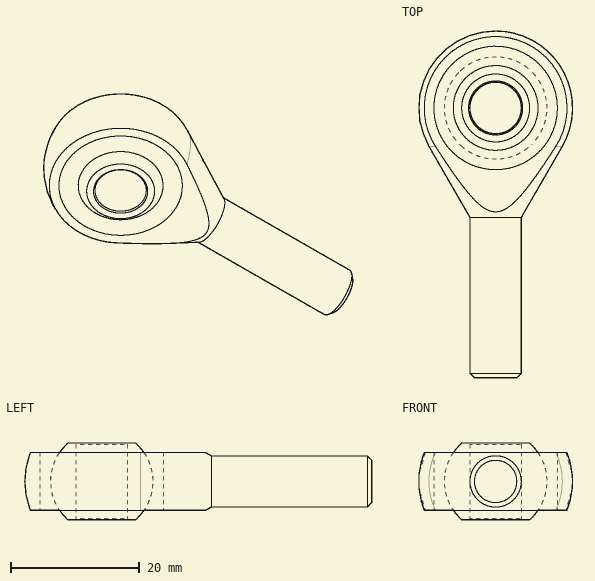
import cadquery as cq
import math

total_length = 53.95
head_radius = 12.0
head_thickness = 9.0
neck_half_angle = 30.0
shank_radius = 4.0
shank_chamfer = 0.7
race_radius = 9.6
ball_radius = 8.0
ball_width = 12.0
bore_radius = 4.0
bore_chamfer = 0.2

neck_angle = math.radians(neck_half_angle)
tangent_radius = head_radius * math.cos(neck_angle)
tangent_y = -head_radius * math.sin(neck_angle)
neck_end_y = tangent_y - (tangent_radius - shank_radius) / math.tan(neck_angle)
shank_end_y = head_radius - total_length


def disc(radius, thickness):
    """Cylinder along Z, centred on the origin."""
    return cq.Workplane("XY").circle(radius).extrude(thickness / 2, both=True)


def make_housing():
    """Sphere, cone and shank turned about Y, with flat faces and a race seat."""
    turned = (
        cq.Workplane("XY")
        .moveTo(0, head_radius)
        .threePointArc((head_radius, 0), (tangent_radius, tangent_y))
        .lineTo(shank_radius, neck_end_y)
        .lineTo(shank_radius, shank_end_y + shank_chamfer)
        .lineTo(shank_radius - shank_chamfer, shank_end_y)
        .lineTo(0, shank_end_y)
        .close()
        .revolve(360, (0, 0), (0, 1))
    )
    flat_slab = cq.Workplane("XY").box(2 * total_length, 2 * total_length, head_thickness)
    return turned.intersect(flat_slab).cut(disc(race_radius, head_thickness))


def make_race():
    """Ring flush with the head faces, with a spherical seat for the ball."""
    return disc(race_radius, head_thickness).cut(cq.Workplane("XY").sphere(ball_radius))


def make_ball():
    """Sphere with flat ends and a chamfered bore along Z."""
    truncated = cq.Workplane("XY").sphere(ball_radius).intersect(disc(ball_radius, ball_width))
    bore = disc(bore_radius, ball_width)
    mouth_radius = bore_radius + bore_chamfer
    for end_direction in (1, -1):
        mouth = cq.Solid.makeCone(
            mouth_radius,
            bore_radius,
            bore_chamfer,
            pnt=cq.Vector(0, 0, end_direction * ball_width / 2),
            dir=cq.Vector(0, 0, -end_direction),
        )
        bore = bore.union(cq.Workplane(mouth))
    return truncated.cut(bore)


housing = make_housing()
race = make_race()
ball = make_ball()

result = cq.Compound.makeCompound([body.solids().val() for body in (housing, race, ball)])